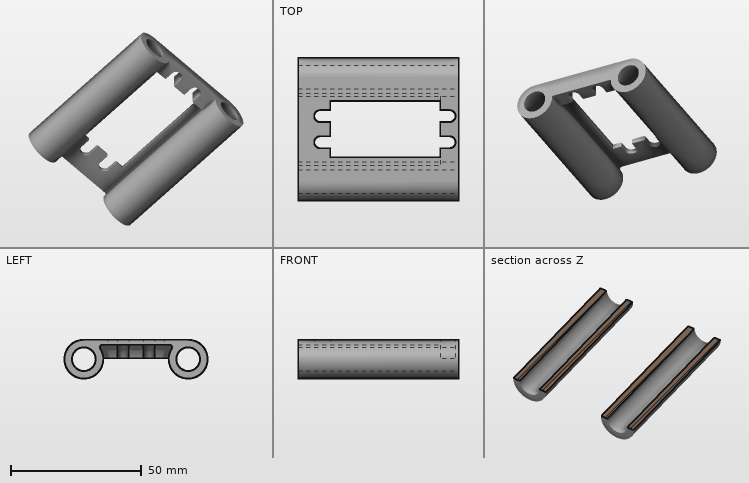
import cadquery as cq
import math

length = 61.6
tube_diameter = 14.95
bore_diameter = 9.0
tube_spacing = 40.05
plate_thickness = 2.0
fillet_radius = 1.0

window_x_min = -18.5
window_x_max = 23.65
window_width = 21.5
slot_width = 4.5
slot_pitch = 10.05
slot_tip_x_min = -24.65
slot_tip_x_max = 29.5

block_depth = 7.2

tube_radius = tube_diameter / 2
half_spacing = tube_spacing / 2
half_length = length / 2
top_z = tube_radius
plate_bottom_z = top_z - plate_thickness

fillet_z = plate_bottom_z - fillet_radius
fillet_offset = math.sqrt((tube_radius + fillet_radius) ** 2 - fillet_z ** 2)


def box_between(x_min, x_max, width, z_min, z_max):
    """Box centred on Y = 0."""
    box = cq.Workplane("XY").box(x_max - x_min, width, z_max - z_min, centered=(False, True, False))
    return box.translate((x_min, 0, z_min))


def cylinder_along_x(diameter, y):
    return (
        cq.Workplane("YZ", origin=(-half_length, y, 0))
        .circle(diameter / 2)
        .extrude(length)
    )


def corner_web(side):
    """Material between the tube and plate, bounded by the fillet arc."""
    contact = tube_radius / (tube_radius + fillet_radius)
    tube_contact = (side * (half_spacing - fillet_offset * contact), fillet_z * contact)
    fillet_y = half_spacing - fillet_offset
    plate_contact = (side * fillet_y, plate_bottom_z)

    tube_angle = math.atan2(-fillet_z, fillet_offset)
    middle_angle = (tube_angle + math.pi / 2) / 2
    arc_middle = (
        side * (fillet_y + fillet_radius * math.cos(middle_angle)),
        fillet_z + fillet_radius * math.sin(middle_angle),
    )
    return (
        cq.Workplane("YZ", origin=(-half_length, 0, 0))
        .moveTo(*tube_contact)
        .threePointArc(arc_middle, plate_contact)
        .lineTo(side * fillet_y, top_z)
        .lineTo(side * half_spacing, top_z)
        .lineTo(side * half_spacing, 0)
        .close()
        .extrude(length)
    )


def slot_cutter(y):
    """Full-height slot through both ends of the window."""
    slot_length = slot_tip_x_max - slot_tip_x_min
    slot_centre_x = (slot_tip_x_max + slot_tip_x_min) / 2
    return (
        cq.Workplane("XY", origin=(slot_centre_x, y, -tube_radius))
        .slot2D(slot_length, slot_width)
        .extrude(tube_diameter)
    )


body = box_between(-half_length, half_length, tube_spacing, plate_bottom_z, top_z)
end_block = box_between(window_x_max, half_length, tube_spacing, top_z - block_depth, top_z)
body = body.union(end_block)

for side in (-1, 1):
    body = body.union(cylinder_along_x(tube_diameter, side * half_spacing))
    body = body.union(corner_web(side))

for side in (-1, 1):
    body = body.cut(cylinder_along_x(bore_diameter, side * half_spacing))

body = body.cut(box_between(window_x_min, window_x_max, window_width, -tube_radius, top_z))
for side in (-1, 1):
    body = body.cut(slot_cutter(side * slot_pitch / 2))

result = body